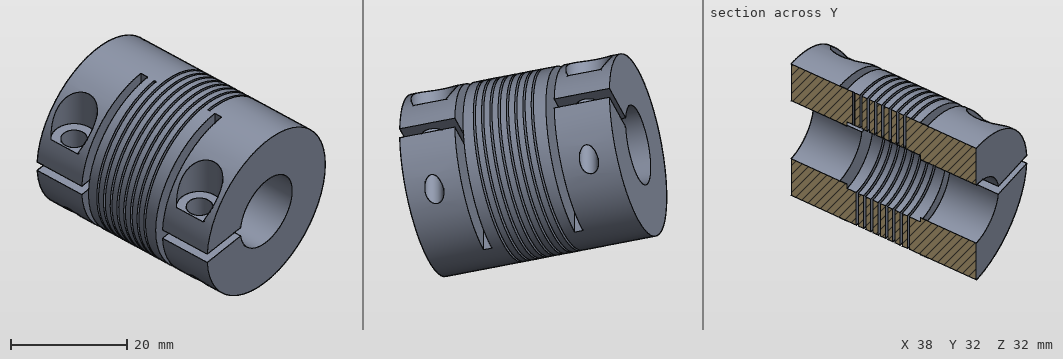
import cadquery as cq


LENGTH = 38.0
OUTER_DIAMETER = 32.0
BORE_DIAMETER = 14.0
RELIEF_DIAMETER = 16.0

HUB_LENGTH = 10.0
HUB_GAP = 1.5
CLAMP_SLIT_HEIGHT = 1.9

SCREW_OFFSET_Y = -12.0
SCREW_SEAT_Z = 6.35
HEAD_DIAMETER = 8.0
CLEARANCE_DIAMETER = 4.6
TAPPED_DIAMETER = 3.3

SLIT_PITCH = 1.5
SLIT_TURNS = 8
SLIT_WIDTH = 0.4
SLIT_START_X = -5.825

OVERCUT = 1.0

outer_radius = OUTER_DIAMETER / 2
sleeve_length = LENGTH - 2 * (HUB_LENGTH + HUB_GAP)
hub_center_x = (LENGTH - HUB_LENGTH) / 2
gap_center_x = (sleeve_length + HUB_GAP) / 2


def cylinder_along_x(diameter, length):
    """Cylinder on the X axis, centred on the origin."""
    return cq.Workplane("YZ").circle(diameter / 2).extrude(length / 2, both=True)


def screw_cylinder(x, diameter, bottom_z, top_z):
    """Vertical cylinder on the screw axis of the hub at x."""
    plane = cq.Workplane("XY", origin=(x, SCREW_OFFSET_Y, bottom_z))
    return plane.circle(diameter / 2).extrude(top_z - bottom_z)


def make_body():
    """Tube with a wider bore inside the sleeve."""
    body = cylinder_along_x(OUTER_DIAMETER, LENGTH)
    body = body.cut(cylinder_along_x(BORE_DIAMETER, LENGTH))
    return body.cut(cylinder_along_x(RELIEF_DIAMETER, sleeve_length))


def hub_gap(side):
    """Half-round gap that frees the -Y half of a hub from the sleeve."""
    reach = outer_radius + OVERCUT
    gap = cq.Workplane("XY").box(HUB_GAP, reach, 2 * reach)
    return gap.translate((side * gap_center_x, -reach / 2, 0))


def clamp_slit(side):
    """Slit that opens the -Y wall of a hub and meets the gap behind it."""
    reach = outer_radius + OVERCUT
    slit = cq.Workplane("XY").box(HUB_LENGTH, reach, CLAMP_SLIT_HEIGHT)
    return slit.translate((side * hub_center_x, -reach / 2, 0))


def screw_hole(side):
    """Head pocket, clearance hole down to the clamp slit and tapped hole below it."""
    x = side * hub_center_x
    top_z = outer_radius + OVERCUT
    pocket = screw_cylinder(x, HEAD_DIAMETER, SCREW_SEAT_Z, top_z)
    clearance = screw_cylinder(x, CLEARANCE_DIAMETER, 0, top_z)
    tapped = screw_cylinder(x, TAPPED_DIAMETER, -top_z, top_z)
    return pocket.union(clearance).union(tapped)


def helical_slit():
    """Right-handed slit through the sleeve wall, starting and ending on the +Z side."""
    slit_length = SLIT_PITCH * SLIT_TURNS
    inner = RELIEF_DIAMETER / 2 - OVERCUT
    outer = outer_radius + OVERCUT
    middle = (inner + outer) / 2
    path = cq.Wire.makeHelix(SLIT_PITCH, slit_length, middle)
    profile = cq.Workplane("XZ", origin=(middle, 0, 0)).rect(outer - inner, SLIT_WIDTH)
    slit = profile.sweep(cq.Workplane(path), isFrenet=True)
    slit = slit.rotate((0, 0, 0), (0, 1, 0), 90)
    slit = slit.rotate((0, 0, 0), (1, 0, 0), 180)
    return slit.translate((SLIT_START_X, 0, 0))


result = make_body()
for side in (-1, 1):
    result = result.cut(hub_gap(side))
    result = result.cut(clamp_slit(side))
    result = result.cut(screw_hole(side))
result = result.cut(helical_slit())